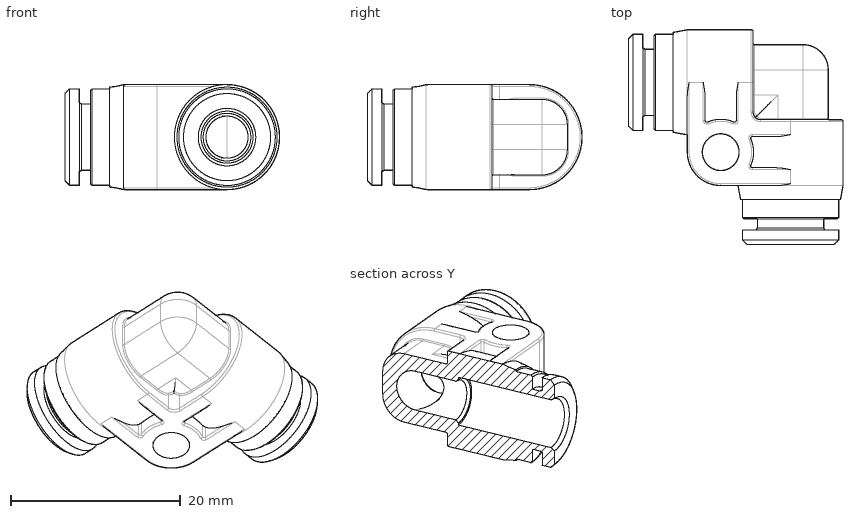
import cadquery as cq
import math


OVERALL_SIZE = 25.3

PORT_END = 19.1
COLLAR_BACK = 17.38
SLEEVE_END = 16.1
SLEEVE_START = 13.81
BODY_OUTER_END = 12.17
BODY_INNER_END = 4.4
BODY_MIDDLE = (BODY_OUTER_END + BODY_INNER_END) / 2

BODY_RADIUS = OVERALL_SIZE - PORT_END
TAPER_END_RADIUS = 5.9
SLEEVE_RADIUS = 5.7
NECK_RADIUS = 3.92
NECK_FLARE = 0.13
NECK_FLARE_LENGTH = 0.25
COLLAR_CHAMFER = 0.55
SLEEVE_CHAMFER = 0.2
EDGE_ROUND = 0.23

SOCKET_RADIUS = 3.05
SOCKET_DEPTH = 13.15
MOUTH_CHAMFER = 0.33
MOUTH_CHAMFER_DEPTH = 0.48
STOP_RADIUS = 2.8
BORE_RADIUS = 2.48

DUCT_HALF_WIDTH = 4.45
DUCT_EDGE_RADIUS = 2.99
DUCT_ROOT_FILLET = 0.15

HOLE_RADIUS = 2.15
HOLE_CENTER = 8.22
PLATE_CORNER_RADIUS = BODY_OUTER_END - HOLE_CENTER
PLATE_INNER_RADIUS = 0.89
WINDOW_WIDTH = 3.67
WINDOW_CORNER_RADIUS = 0.2
BOSS_RADIUS = 3.87


def swap_ports(shape):
    """Carry a shape of the -X port to the -Y port: half a turn about the line x = y."""
    return shape.rotate((0, 0, 0), (1, 1, 0), 180)


def both_ports(shape):
    return shape.union(swap_ports(shape))


def revolve_about_x(profile):
    return profile.close().revolve(360, (0, 0, 0), (1, 0, 0))


def make_port():
    """Body barrel, tapered shoulder, sleeve, neck and release collar of the -X port."""
    arc_inset = EDGE_ROUND * (1 - math.sqrt(0.5))
    profile = (
        cq.Workplane("XY")
        .moveTo(-BODY_INNER_END, 0)
        .lineTo(-BODY_INNER_END, BODY_RADIUS - EDGE_ROUND)
        .threePointArc(
            (-BODY_INNER_END - arc_inset, BODY_RADIUS - arc_inset),
            (-BODY_INNER_END - EDGE_ROUND, BODY_RADIUS),
        )
        .lineTo(-BODY_OUTER_END, BODY_RADIUS)
        .lineTo(-SLEEVE_START, TAPER_END_RADIUS)
        .lineTo(-SLEEVE_START, SLEEVE_RADIUS)
        .lineTo(-SLEEVE_END + SLEEVE_CHAMFER, SLEEVE_RADIUS)
        .lineTo(-SLEEVE_END, SLEEVE_RADIUS - SLEEVE_CHAMFER)
        .lineTo(-SLEEVE_END, NECK_RADIUS)
        .lineTo(-COLLAR_BACK + NECK_FLARE_LENGTH, NECK_RADIUS)
        .lineTo(-COLLAR_BACK, NECK_RADIUS + NECK_FLARE)
        .lineTo(-COLLAR_BACK, SLEEVE_RADIUS)
        .lineTo(-PORT_END + COLLAR_CHAMFER, SLEEVE_RADIUS)
        .lineTo(-PORT_END, SLEEVE_RADIUS - COLLAR_CHAMFER)
        .lineTo(-PORT_END, 0)
    )
    return revolve_about_x(profile)


def make_passage():
    """Chamfered tube socket, tube stop with lead-in, and bore of the -X port."""
    socket_floor = PORT_END - SOCKET_DEPTH
    stop_chamfer = STOP_RADIUS - BORE_RADIUS
    profile = (
        cq.Workplane("XY")
        .moveTo(0, 0)
        .lineTo(0, BORE_RADIUS)
        .lineTo(-socket_floor + stop_chamfer, BORE_RADIUS)
        .lineTo(-socket_floor, STOP_RADIUS)
        .lineTo(-socket_floor, SOCKET_RADIUS)
        .lineTo(-PORT_END + MOUTH_CHAMFER_DEPTH, SOCKET_RADIUS)
        .lineTo(-PORT_END, SOCKET_RADIUS + MOUTH_CHAMFER)
        .lineTo(-PORT_END, 0)
    )
    return revolve_about_x(profile)


def make_duct():
    """Two rounded-square bars that start inside the barrels and meet in a ball-rounded corner."""
    width = 2 * DUCT_HALF_WIDTH
    length = DUCT_HALF_WIDTH + BODY_MIDDLE
    bar = (
        cq.Workplane("XY")
        .box(length, width, width)
        .edges()
        .fillet(DUCT_EDGE_RADIUS)
        .translate((DUCT_HALF_WIDTH - length / 2, 0, 0))
    )
    return both_ports(bar)


def make_window():
    """Opening through the plate beside the -X port, bounded by the boss round the hole."""
    boss = (
        cq.Workplane("XY")
        .center(-HOLE_CENTER, -HOLE_CENTER)
        .circle(BOSS_RADIUS)
        .extrude(BODY_RADIUS, both=True)
    )
    return (
        cq.Workplane("XY")
        .center(-HOLE_CENTER, -HOLE_CENTER / 2)
        .rect(WINDOW_WIDTH, HOLE_CENTER)
        .extrude(BODY_RADIUS, both=True)
        .cut(boss)
        .edges("|Z and (not >Y)")
        .fillet(WINDOW_CORNER_RADIUS)
    )


def round_vertical_edge(plate, diagonal_position, radius):
    """Round the upright edge that stands on the line x = y at the given x."""
    corner_point = (diagonal_position, diagonal_position, 0)
    return plate.edges(cq.selectors.NearestToPointSelector(corner_point)).fillet(radius)


def make_plate():
    """L-shaped plate as thick as the barrels, with windows and rounded rims."""
    outline = (
        cq.Workplane("XY")
        .polyline([
            (-BODY_OUTER_END, 0),
            (-BODY_OUTER_END, -BODY_OUTER_END),
            (0, -BODY_OUTER_END),
            (0, -BODY_INNER_END),
            (-BODY_INNER_END, -BODY_INNER_END),
            (-BODY_INNER_END, 0),
        ])
        .close()
        .extrude(BODY_RADIUS, both=True)
    )
    plate = round_vertical_edge(outline, -BODY_OUTER_END, PLATE_CORNER_RADIUS)
    plate = round_vertical_edge(plate, -BODY_INNER_END, PLATE_INNER_RADIUS)
    window = make_window()
    plate = plate.cut(window).cut(swap_ports(window))
    rims = plate.faces("<Z or >Z").edges("not (>X or >Y)")
    return rims.fillet(EDGE_ROUND)


def fillet_duct_roots(body):
    """Soften the joints between the duct and the flat inner ends of the two barrels."""
    gap = DUCT_ROOT_FILLET / 2
    near = -BODY_INNER_END - gap
    far = -BODY_INNER_END + gap
    top = DUCT_HALF_WIDTH + gap
    x_port_end = cq.selectors.BoxSelector((near, near, -top), (far, top, top), boundingbox=True)
    y_port_end = cq.selectors.BoxSelector((near, near, -top), (top, far, top), boundingbox=True)
    return body.edges(x_port_end + y_port_end).fillet(DUCT_ROOT_FILLET)


def make_fitting():
    """Join the outer shapes, then open the mounting hole and the right-angle passage."""
    body = both_ports(make_port()).union(make_plate()).union(make_duct())
    body = fillet_duct_roots(body)
    hole = (
        cq.Workplane("XY")
        .center(-HOLE_CENTER, -HOLE_CENTER)
        .circle(HOLE_RADIUS)
        .extrude(BODY_RADIUS, both=True)
    )
    passage = both_ports(make_passage()).union(cq.Workplane("XY").sphere(BORE_RADIUS))
    return body.cut(hole).cut(passage)


result = make_fitting()